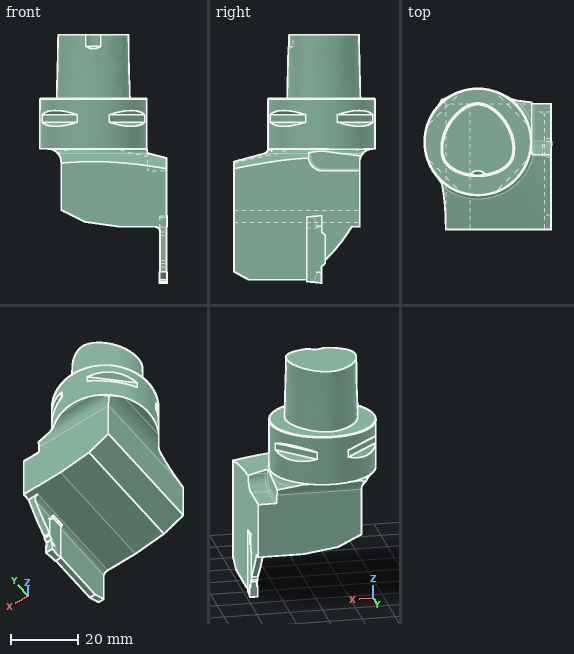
import cadquery as cq
import math


FLANGE_RADIUS = 16.0
FLANGE_HEIGHT = 15.1
FLANGE_CHAMFER = 0.2

SLOT_COUNT = 4
SLOT_START_ANGLE = 45
SLOT_Z = -6.0
SLOT_DEPTH = 1.85
SLOT_FLOOR_HEIGHT = 2.15
SLOT_MOUTH_HEIGHT = 4.7

SHANK_LENGTH = 18.95
SHANK_BASE_RADIUS = 10.95
SHANK_TOP_RADIUS = 10.5
LOBE_HEIGHT = 0.7
SHANK_POINTS = 48

NOTCH_RADIUS = 2.75
NOTCH_CENTER_Y = -11.3
NOTCH_DEPTH = 3.4
NOTCH_POINT_ANGLE = 118

HEAD_LEFT = -9.6
HEAD_RIGHT = 21.8
HEAD_FRONT = -26.1
HEAD_BACK = 11.4
HEAD_BOTTOM = -38.3
FLARE_RADIUS = 3.85
LEFT_WALL_BOTTOM = -33.3
SLOPE_BREAK = (-2.45, -36.85)
BOTTOM_FLAT_START_X = 8.15

SHOULDER_Z = -16.1
SHOULDER_ANGLE = 15
SHOULDER_FILLET = 1.3
SHOULDER_OUTER_RADIUS = 44.4

STEP_X = 16.1
STEP_Y = -3.85
STEP_FLOOR_Z = -21.6
STEP_BACK_RADIUS = 4.2
STEP_SIDE_RADIUS = 0.6
STEP_CLEARANCE = 7.4

BLADE_THICKNESS = 2.0
BLADE_LEFT = HEAD_RIGHT - BLADE_THICKNESS
BLADE_BOTTOM = -54.1
BLADE_FILLET = 1.4
BLADE_CHAMFER_LENGTH = 4.45
BLADE_CHAMFER_HEIGHT = 2.45
BLADE_TOP_Y = 8.95
BLADE_ARC_MIDDLE = (6.0, -42.7)
BLADE_NOSE = (1.1, -48.25)

INSERT_TIP_Z = -55.05
INSERT_HALF_LENGTH = 10.1
INSERT_CENTER_Z = INSERT_TIP_Z + INSERT_HALF_LENGTH
INSERT_BACK_Y = -4.45
INSERT_BACK_HALF_LENGTH = 9.6
INSERT_NOSE_Y = 1.1
INSERT_NOSE_HALF_LENGTH = 4.2
INSERT_NECK_HALF_LENGTH = 5.2
EDGE_OVERHANG = 0.2
EDGE_START = 6.8
EDGE_START_DEPTH = 1.4
EDGE_TIP_DEPTH = 2.5
RELIEF_TOP_Z = -38.55


def shank_outline(radius):
    """Points of a curve whose tangent lines lie at radius + lobe * cos(3a) from the axis."""
    points = []
    for i in range(SHANK_POINTS):
        angle = 2 * math.pi * i / SHANK_POINTS
        reach = radius + LOBE_HEIGHT * math.cos(3 * angle)
        shift = 3 * LOBE_HEIGHT * math.sin(3 * angle)
        x = reach * math.sin(angle) - shift * math.cos(angle)
        y = reach * math.cos(angle) + shift * math.sin(angle)
        points.append((x, y))
    return points


def make_shank():
    shank = (
        cq.Workplane("XY")
        .spline(shank_outline(SHANK_BASE_RADIUS), periodic=True).close()
        .workplane(offset=SHANK_LENGTH)
        .spline(shank_outline(SHANK_TOP_RADIUS), periodic=True).close()
        .loft(ruled=True)
    )
    shoulder_z = SHANK_LENGTH - NOTCH_DEPTH
    point_z = shoulder_z - NOTCH_RADIUS / math.tan(math.radians(NOTCH_POINT_ANGLE / 2))
    drill = (
        cq.Workplane("XZ")
        .polyline([(0, point_z), (NOTCH_RADIUS, shoulder_z), (NOTCH_RADIUS, SHANK_LENGTH), (0, SHANK_LENGTH)])
        .close()
        .revolve(360, (0, 0), (0, 1))
        .translate((0, NOTCH_CENTER_Y, 0))
    )
    return shank.cut(drill)


def make_flange():
    flange = (
        cq.Workplane("XY")
        .circle(FLANGE_RADIUS)
        .extrude(-FLANGE_HEIGHT)
        .faces(">Z").edges().chamfer(FLANGE_CHAMFER)
    )
    floor_distance = FLANGE_RADIUS - SLOT_DEPTH
    floor_half = SLOT_FLOOR_HEIGHT / 2
    mouth_half = SLOT_MOUTH_HEIGHT / 2
    slot = (
        cq.Workplane("XZ")
        .polyline([
            (floor_distance, SLOT_Z - floor_half),
            (FLANGE_RADIUS, SLOT_Z - mouth_half),
            (FLANGE_RADIUS, SLOT_Z + mouth_half),
            (floor_distance, SLOT_Z + floor_half),
        ])
        .close()
        .extrude(FLANGE_RADIUS, both=True)
    )
    for i in range(SLOT_COUNT):
        angle = SLOT_START_ANGLE + i * 360 / SLOT_COUNT
        flange = flange.cut(slot.rotate((0, 0, 0), (0, 0, 1), angle))
    return flange


def make_shoulder_envelope():
    """Everything under the flange and the conical shoulder, filleted between them."""
    slope = math.radians(SHOULDER_ANGLE)
    tangent_length = SHOULDER_FILLET * math.tan((math.pi / 2 - slope) / 2)
    center_r = FLANGE_RADIUS + SHOULDER_FILLET
    center_z = SHOULDER_Z + tangent_length
    middle_angle = (math.pi + 3 * math.pi / 2 - slope) / 2
    fillet_middle = (
        center_r + SHOULDER_FILLET * math.cos(middle_angle),
        center_z + SHOULDER_FILLET * math.sin(middle_angle),
    )
    fillet_end = (
        FLANGE_RADIUS + tangent_length * math.cos(slope),
        SHOULDER_Z - tangent_length * math.sin(slope),
    )
    outer_z = SHOULDER_Z - (SHOULDER_OUTER_RADIUS - FLANGE_RADIUS) * math.tan(slope)
    return (
        cq.Workplane("XZ")
        .moveTo(0, -FLANGE_HEIGHT)
        .lineTo(FLANGE_RADIUS, -FLANGE_HEIGHT)
        .lineTo(FLANGE_RADIUS, center_z)
        .threePointArc(fillet_middle, fillet_end)
        .lineTo(SHOULDER_OUTER_RADIUS, outer_z)
        .lineTo(SHOULDER_OUTER_RADIUS, INSERT_TIP_Z)
        .lineTo(0, INSERT_TIP_Z)
        .close()
        .revolve(360, (0, 0), (0, 1))
    )


def make_head_and_blade():
    """Front profile and side profile crossed, each with a flare up to the flange."""
    flare_bottom = -FLANGE_HEIGHT - FLARE_RADIUS
    front_profile = (
        cq.Workplane("XZ", origin=(0, -HEAD_FRONT, 0))
        .moveTo(HEAD_RIGHT, -FLANGE_HEIGHT)
        .lineTo(HEAD_LEFT - FLARE_RADIUS, -FLANGE_HEIGHT)
        .radiusArc((HEAD_LEFT, flare_bottom), FLARE_RADIUS)
        .lineTo(HEAD_LEFT, LEFT_WALL_BOTTOM)
        .lineTo(*SLOPE_BREAK)
        .lineTo(BOTTOM_FLAT_START_X, HEAD_BOTTOM)
        .lineTo(BLADE_LEFT - BLADE_FILLET, HEAD_BOTTOM)
        .radiusArc((BLADE_LEFT, HEAD_BOTTOM - BLADE_FILLET), BLADE_FILLET)
        .lineTo(BLADE_LEFT, BLADE_BOTTOM)
        .lineTo(HEAD_RIGHT, BLADE_BOTTOM)
        .close()
        .extrude(-2 * HEAD_FRONT)
    )
    side_profile = (
        cq.Workplane("YZ", origin=(HEAD_LEFT - FLARE_RADIUS, 0, 0))
        .moveTo(HEAD_FRONT, -FLANGE_HEIGHT)
        .lineTo(HEAD_BACK + FLARE_RADIUS, -FLANGE_HEIGHT)
        .radiusArc((HEAD_BACK, flare_bottom), -FLARE_RADIUS)
        .lineTo(HEAD_BACK, HEAD_BOTTOM)
        .lineTo(BLADE_TOP_Y, HEAD_BOTTOM)
        .threePointArc(BLADE_ARC_MIDDLE, BLADE_NOSE)
        .lineTo(INSERT_BACK_Y, BLADE_NOSE[1])
        .lineTo(INSERT_BACK_Y, BLADE_BOTTOM)
        .lineTo(HEAD_FRONT + BLADE_CHAMFER_LENGTH, BLADE_BOTTOM)
        .lineTo(HEAD_FRONT, BLADE_BOTTOM + BLADE_CHAMFER_HEIGHT)
        .close()
        .extrude(HEAD_RIGHT - HEAD_LEFT + FLARE_RADIUS)
    )
    return front_profile.intersect(side_profile).intersect(make_shoulder_envelope())


def make_corner_step():
    """Cutter for the lowered corner, rounded along its back and left walls."""
    width = HEAD_RIGHT - STEP_X + STEP_CLEARANCE
    depth = HEAD_BACK + FLARE_RADIUS - STEP_Y + STEP_CLEARANCE
    height = -FLANGE_HEIGHT - STEP_FLOOR_Z
    return (
        cq.Workplane("XY", origin=(STEP_X, STEP_Y, STEP_FLOOR_Z))
        .box(width, depth, height, centered=False)
        .edges("<Y and <Z").fillet(STEP_BACK_RADIUS)
        .faces("<X").edges("not(>Z or >Y)").fillet(STEP_SIDE_RADIUS)
    )


def make_cutting_end():
    """Lower cutting end, wider than the insert at its face and tapering back to flush."""
    def section(depth):
        return [
            (BLADE_LEFT - EDGE_OVERHANG, 0),
            (HEAD_RIGHT + EDGE_OVERHANG, 0),
            (HEAD_RIGHT, -depth),
            (BLADE_LEFT, -depth),
        ]

    edge_block = (
        cq.Workplane("XY", origin=(0, 0, INSERT_CENTER_Z - EDGE_START))
        .polyline(section(EDGE_START_DEPTH)).close()
        .workplane(offset=EDGE_START - INSERT_HALF_LENGTH)
        .polyline(section(EDGE_TIP_DEPTH)).close()
        .loft(ruled=True)
    )
    end_slope = (
        cq.Workplane("YZ", origin=(BLADE_LEFT - EDGE_OVERHANG, 0, 0))
        .polyline([
            (0, INSERT_CENTER_Z),
            (0, INSERT_TIP_Z),
            (INSERT_BACK_Y, INSERT_CENTER_Z - INSERT_BACK_HALF_LENGTH),
            (INSERT_BACK_Y, INSERT_CENTER_Z),
        ])
        .close()
        .extrude(BLADE_THICKNESS + 2 * EDGE_OVERHANG)
    )
    return edge_block.intersect(end_slope)


def make_insert():
    lower_half = [
        (INSERT_NOSE_Y, -INSERT_NOSE_HALF_LENGTH),
        (0, -INSERT_NECK_HALF_LENGTH),
        (0, -INSERT_HALF_LENGTH),
        (INSERT_BACK_Y, -INSERT_BACK_HALF_LENGTH),
    ]
    upper_half = [(y, -z) for y, z in reversed(lower_half)]
    body = (
        cq.Workplane("YZ", origin=(BLADE_LEFT, 0, INSERT_CENTER_Z))
        .polyline(lower_half + upper_half).close()
        .extrude(BLADE_THICKNESS)
    )
    lower_end = make_cutting_end()
    upper_end = lower_end.mirror("XY", (0, 0, INSERT_CENTER_Z))
    return body.union(lower_end).union(upper_end)


def make_insert_relief():
    """Opening through the blade fillet that clears the left side of the insert."""
    fillet_end_z = HEAD_BOTTOM - BLADE_FILLET
    return (
        cq.Workplane("XY", origin=(BLADE_LEFT - BLADE_FILLET, INSERT_BACK_Y, fillet_end_z))
        .box(BLADE_FILLET, -INSERT_BACK_Y, RELIEF_TOP_Z - fillet_end_z, centered=False)
    )


insert = make_insert()
holder = (
    make_head_and_blade()
    .cut(make_corner_step())
    .union(make_flange())
    .union(make_shank())
    .cut(make_insert_relief())
    .cut(insert)
)

result = cq.Compound.makeCompound([holder.val(), insert.val()])